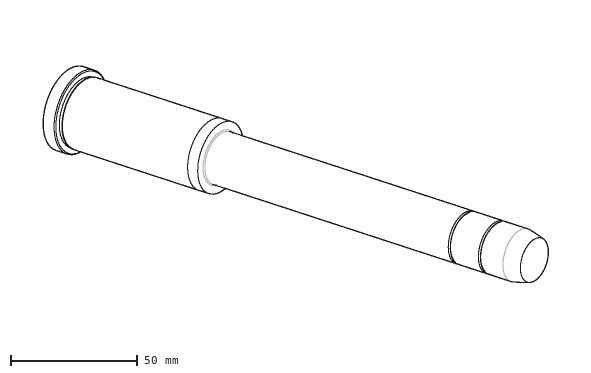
import cadquery as cq

head_diameter = 35.0
head_thickness = 6.0
head_edge_chamfer = 0.5

shank_diameter = 30.0
shank_end = 75.0
lead_length = 5.0
lead_clearance = 0.02
lead_diameter = shank_diameter - lead_clearance
relief_width = 1.5
relief_depth = 0.3

pin_diameter = 22.0
pin_root_fillet = 0.5
total_length = 231.0
nose_length = 7.3
nose_tip_diameter = 18.4
nose_radius = 50.0
groove_radius = 0.5
groove_spacing = 15.0
first_groove_center = 197.0
groove_centers = (first_groove_center, first_groove_center + groove_spacing)


def make_blank():
    """Head, shank and pin, revolved about the X axis from one half profile."""
    head_r = head_diameter / 2
    shank_r = shank_diameter / 2
    lead_r = lead_diameter / 2
    relief_r = shank_r - relief_depth
    pin_r = pin_diameter / 2
    relief_end = head_thickness + relief_width
    lead_start = shank_end - lead_length
    return (
        cq.Workplane("XZ")
        .moveTo(0, 0)
        .lineTo(0, head_r)
        .lineTo(head_thickness - head_edge_chamfer, head_r)
        .lineTo(head_thickness, head_r - head_edge_chamfer)
        .lineTo(head_thickness, relief_r)
        .lineTo(relief_end, relief_r)
        .lineTo(relief_end, shank_r)
        .lineTo(lead_start, shank_r)
        .lineTo(lead_start, lead_r)
        .lineTo(shank_end, lead_r)
        .lineTo(shank_end, pin_r + pin_root_fillet)
        .radiusArc((shank_end + pin_root_fillet, pin_r), -pin_root_fillet)
        .lineTo(total_length - nose_length, pin_r)
        .radiusArc((total_length, nose_tip_diameter / 2), nose_radius)
        .lineTo(total_length, 0)
        .close()
        .revolve(360, (0, 0, 0), (1, 0, 0))
    )


def make_groove(center_x):
    """Ring of round section, centred on the pin surface."""
    return cq.Workplane(cq.Solid.makeTorus(
        pin_diameter / 2, groove_radius, cq.Vector(center_x, 0, 0), cq.Vector(1, 0, 0)
    ))


result = make_blank()
for groove_center in groove_centers:
    result = result.cut(make_groove(groove_center))